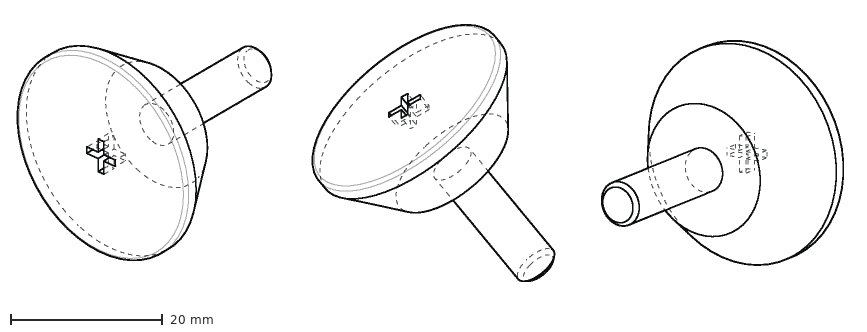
import cadquery as cq

total_length = 31.0
head_diameter = 30.0
neck_diameter = 18.0
stud_diameter = 6.0
stud_length = 20.0
rim_width = 2.0
rim_fillet = 0.5
stud_chamfer = 0.6

cross_span = 5.0
cross_slot_width = 1.0
cross_depth = 2.0

head_length = total_length - stud_length
head_radius = head_diameter / 2
neck_radius = neck_diameter / 2
stud_radius = stud_diameter / 2


def make_body():
    """Revolve the rim, the cone and the stud about the Y axis, flat face at Y = 0."""
    profile = (
        cq.Workplane("XY")
        .moveTo(0, 0)
        .lineTo(head_radius - rim_fillet, 0)
        .radiusArc((head_radius, rim_fillet), -rim_fillet)
        .lineTo(head_radius, rim_width)
        .lineTo(neck_radius, head_length)
        .lineTo(stud_radius, head_length)
        .lineTo(stud_radius, total_length - stud_chamfer)
        .lineTo(stud_radius - stud_chamfer, total_length)
        .lineTo(0, total_length)
        .close()
    )
    return profile.revolve(360, (0, 0, 0), (0, 1, 0))


def make_cross():
    """Two crossed slots reaching from the flat face into the head."""
    centered_in_y = (True, False, True)
    level_slot = cq.Workplane("XY").box(cross_span, cross_depth, cross_slot_width, centered=centered_in_y)
    upright_slot = cq.Workplane("XY").box(cross_slot_width, cross_depth, cross_span, centered=centered_in_y)
    return level_slot.union(upright_slot)


result = make_body().cut(make_cross())